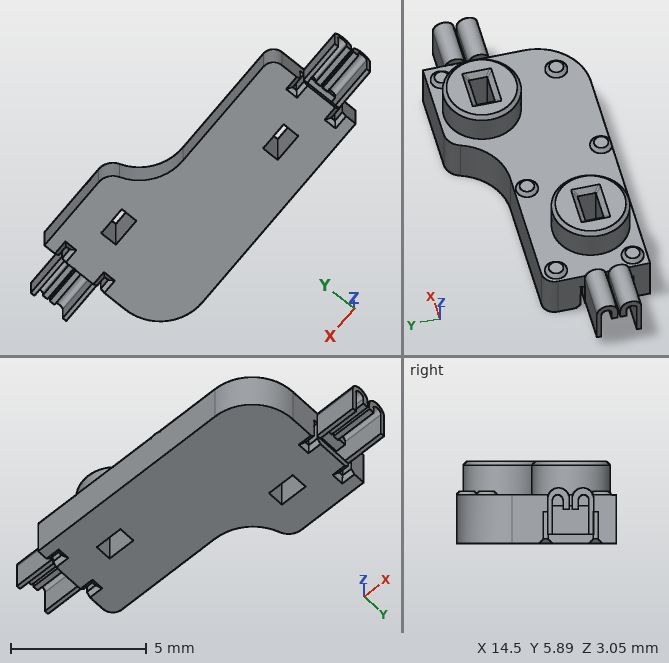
import cadquery as cq
import math

OVERALL_LENGTH = 14.5
BEVEL_ANGLE = 45

BODY_LENGTH = 10.9
BODY_WIDTH = 5.89
BODY_HEIGHT = 1.8
STEP_WIDTH = 4.02
CORNER_RADIUS = 0.5
HEEL_RADIUS = 2.03
NECK_START = 5.15
NECK_RADIUS = 2.09
SHOULDER_RADIUS = 0.7

POST_CENTERS = [(2.3, 1.68), (8.61, 4.22)]
POST_DIAMETER = 2.9
POST_TOP = 3.05
POST_CHAMFER = 0.15
WINDOW_LENGTH = 1.19
WINDOW_WIDTH = 0.7
WINDOW_CHAMFER = 0.2
WINDOW_CORNER_RADIUS = 0.09

PIP_CENTERS = [(0.52, 0.54), (0.52, 3.45), (4.54, 3.54), (5.87, 0.38), (9.75, 1.1), (10.3, 5.32)]
PIP_DIAMETER = 0.83
PIP_HEIGHT = 0.15

TERMINAL_LENGTH = (OVERALL_LENGTH - BODY_LENGTH) / 2
LEFT_TERMINAL_Y = 1.64
RIGHT_TERMINAL_Y = 4.2
OUTER_LEG = 0.17
INNER_LEG = 0.23
HOOK_WIDTH = 0.8
HOOK_GAP = 0.1
HOOK_TOP = 2.06
ARCH_TOP = BODY_HEIGHT
OUTER_LEG_BOTTOM = 0.35
INNER_LEG_BOTTOM = 1.28
TERMINAL_WIDTH = 2 * HOOK_WIDTH + HOOK_GAP

RECESS_DEPTH = 0.44
POCKET_TOP = 1.39
SLOT_WIDTH = 0.17
SLOT_OVERLAP = 0.01
SLOT_TOP = 1.17
SLOT_FLARE = 0.17


def round_corner(block, x, y, radius):
    corner = cq.selectors.NearestToPointSelector((x, y, BODY_HEIGHT / 2))
    return block.edges(corner).fillet(radius)


def housing():
    reach = NECK_RADIUS + SHOULDER_RADIUS
    rise = BODY_WIDTH - STEP_WIDTH
    sweep_angle = math.acos(1 - rise / reach)
    sweep_length = reach * math.sin(sweep_angle)
    shoulder_end = NECK_START + sweep_length

    def neck_point(angle):
        return (
            NECK_START + NECK_RADIUS * math.sin(angle),
            STEP_WIDTH + NECK_RADIUS * (1 - math.cos(angle)),
        )

    def shoulder_point(angle):
        return (
            shoulder_end - SHOULDER_RADIUS * math.sin(angle),
            BODY_WIDTH - SHOULDER_RADIUS * (1 - math.cos(angle)),
        )

    block = (
        cq.Workplane("XY")
        .lineTo(BODY_LENGTH, 0)
        .lineTo(BODY_LENGTH, BODY_WIDTH)
        .lineTo(shoulder_end, BODY_WIDTH)
        .threePointArc(shoulder_point(sweep_angle / 2), shoulder_point(sweep_angle))
        .threePointArc(neck_point(sweep_angle / 2), (NECK_START, STEP_WIDTH))
        .lineTo(0, STEP_WIDTH)
        .close()
        .extrude(BODY_HEIGHT)
    )
    block = round_corner(block, 0, STEP_WIDTH, CORNER_RADIUS)
    return round_corner(block, BODY_LENGTH, 0, HEEL_RADIUS)


def posts():
    return (
        cq.Workplane("XY")
        .pushPoints(POST_CENTERS)
        .circle(POST_DIAMETER / 2)
        .extrude(POST_TOP)
        .faces(">Z")
        .chamfer(POST_CHAMFER)
    )


def windows():
    through = (
        cq.Workplane("XY")
        .pushPoints(POST_CENTERS)
        .rect(WINDOW_LENGTH, WINDOW_WIDTH)
        .extrude(POST_TOP)
    )
    mouths = (
        cq.Workplane("XY", origin=(0, 0, POST_TOP))
        .pushPoints(POST_CENTERS)
        .rect(WINDOW_LENGTH + 2 * WINDOW_CHAMFER, WINDOW_WIDTH + 2 * WINDOW_CHAMFER)
        .extrude(-WINDOW_CHAMFER, taper=BEVEL_ANGLE)
        .edges("not #Z")
        .fillet(WINDOW_CORNER_RADIUS)
    )
    return through.union(mouths)


def pips(outline):
    cones = (
        cq.Workplane("XY", origin=(0, 0, BODY_HEIGHT))
        .pushPoints(PIP_CENTERS)
        .circle(PIP_DIAMETER / 2)
        .extrude(PIP_HEIGHT, taper=BEVEL_ANGLE)
    )
    return cones.intersect(outline.translate((0, 0, PIP_HEIGHT)))


def terminal():
    """Sheet profile centred on Y = 0, running from X = 0 towards -X."""
    inner_y = HOOK_GAP / 2
    outer_y = inner_y + HOOK_WIDTH
    bend_radius = HOOK_WIDTH / 2
    bend_z = HOOK_TOP - bend_radius
    arch_inner_y = inner_y + INNER_LEG
    arch_outer_y = outer_y - OUTER_LEG
    arch_radius = (arch_outer_y - arch_inner_y) / 2
    arch_z = ARCH_TOP - arch_radius
    hook = (
        cq.Workplane("YZ")
        .moveTo(outer_y, OUTER_LEG_BOTTOM)
        .lineTo(outer_y, bend_z)
        .threePointArc((inner_y + bend_radius, HOOK_TOP), (inner_y, bend_z))
        .lineTo(inner_y, INNER_LEG_BOTTOM)
        .lineTo(arch_inner_y, INNER_LEG_BOTTOM)
        .lineTo(arch_inner_y, arch_z)
        .threePointArc((arch_inner_y + arch_radius, ARCH_TOP), (arch_outer_y, arch_z))
        .lineTo(arch_outer_y, OUTER_LEG_BOTTOM)
        .close()
        .extrude(-TERMINAL_LENGTH)
    )
    return hook.union(hook.mirror("XZ"))


def end_recess():
    """Pocket between the outer legs of a terminal and a flared slot beside each leg, cut past X = 0."""
    pocket = (
        cq.Workplane("XY", origin=(0, 0, OUTER_LEG_BOTTOM))
        .rect(2 * RECESS_DEPTH, TERMINAL_WIDTH - 2 * OUTER_LEG)
        .extrude(POCKET_TOP - OUTER_LEG_BOTTOM)
    )
    slot_y = (TERMINAL_WIDTH + SLOT_WIDTH) / 2 - SLOT_OVERLAP
    slot_centers = [(0, -slot_y), (0, slot_y)]
    slots = (
        cq.Workplane("XY")
        .pushPoints(slot_centers)
        .rect(2 * RECESS_DEPTH, SLOT_WIDTH)
        .extrude(SLOT_TOP)
    )
    flares = (
        cq.Workplane("XY")
        .pushPoints(slot_centers)
        .rect(2 * (RECESS_DEPTH + SLOT_FLARE), SLOT_WIDTH + 2 * SLOT_FLARE)
        .extrude(SLOT_FLARE, taper=BEVEL_ANGLE)
    )
    return pocket.union(slots).union(flares)


def at_left_end(shape):
    return shape.translate((0, LEFT_TERMINAL_Y, 0))


def at_right_end(shape):
    return shape.mirror("YZ").translate((BODY_LENGTH, RIGHT_TERMINAL_Y, 0))


body = housing()
result = body.union(posts()).union(pips(body)).cut(windows())

for place in (at_left_end, at_right_end):
    result = result.cut(place(end_recess())).union(place(terminal()))